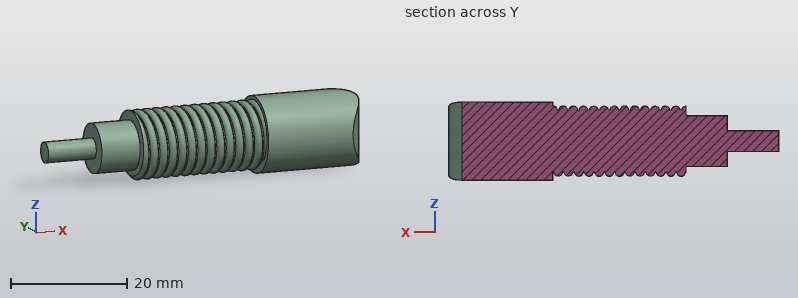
import cadquery as cq
import math

total_length = 56.8
pin_length = 8.85
pin_radius = 1.8
collar_length = 7.1
collar_radius = 4.4
head_length = 17.95
head_radius = 6.735

core_radius = 5.4
bead_radius = 0.75
crest_radius = 6.1
bead_center_radius = crest_radius - bead_radius
thread_turns = 13

wave_height = 2.3
wave_samples = 40

collar_start = pin_length
thread_start = collar_start + collar_length
thread_end = total_length - head_length
thread_length = thread_end - thread_start
pitch = thread_length / thread_turns


def cylinder(start, length, radius):
    """Solid cylinder along X."""
    return cq.Workplane("YZ", origin=(start, 0, 0)).circle(radius).extrude(length)


def thread_bead():
    """Right-handed round bead, trimmed flat at both ends of the threaded section."""
    helix_start = thread_start - pitch
    helix_length = thread_length + 2 * pitch
    helix_plane = cq.Plane(origin=(helix_start, 0, 0), xDir=(0, 0, 1), normal=(1, 0, 0))
    helix = cq.Wire.makeHelix(pitch, helix_length, bead_center_radius).moved(cq.Location(helix_plane))
    bead = (
        cq.Workplane("XZ", origin=(helix_start, 0, bead_center_radius))
        .circle(bead_radius)
        .sweep(cq.Workplane(obj=helix), isFrenet=True)
    )
    return bead.intersect(cylinder(thread_start, thread_length, head_radius))


def wavy_head():
    """Cylinder whose far end follows one sine wave across Y, constant along Z."""
    mean_x = total_length - wave_height

    def wave_point(t):
        y = head_radius * (2 * t - 1)
        return mean_x - wave_height * math.sin(math.pi * y / head_radius), y

    profile = (
        cq.Workplane("XY", origin=(0, 0, -head_radius))
        .moveTo(thread_end, -head_radius)
        .lineTo(mean_x, -head_radius)
        .parametricCurve(wave_point, N=wave_samples, makeWire=False)
        .moveTo(mean_x, head_radius)
        .lineTo(thread_end, head_radius)
        .lineTo(thread_end, -head_radius)
        .wire()
        .extrude(2 * head_radius)
    )
    return cylinder(thread_end, head_length, head_radius).intersect(profile)


pin = cylinder(0, pin_length, pin_radius)
collar = cylinder(collar_start, collar_length, collar_radius)
core = cylinder(thread_start, thread_length, core_radius)

result = pin.union(collar).union(core.union(thread_bead())).union(wavy_head())